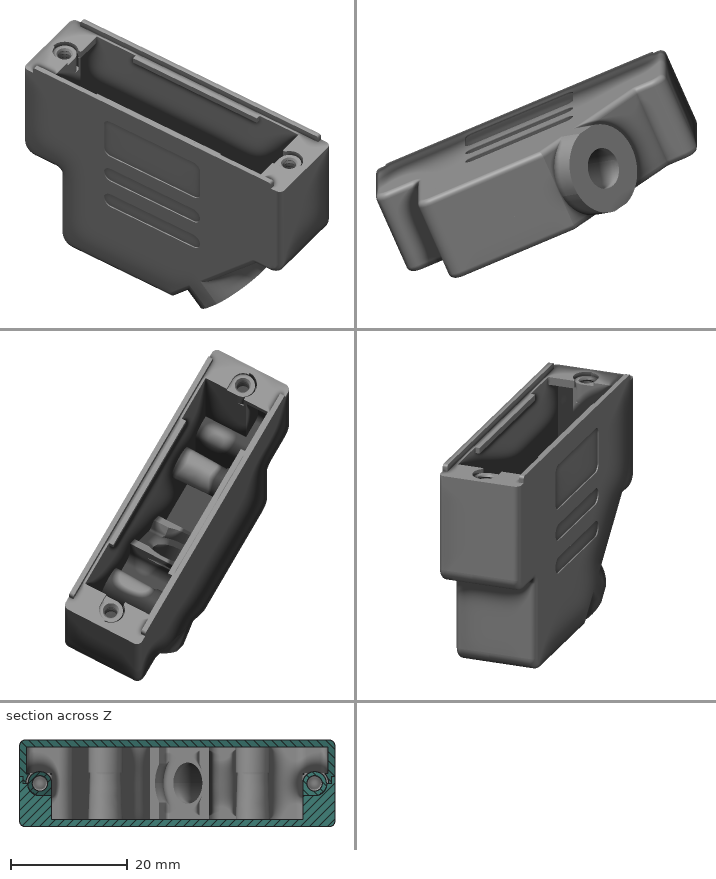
import cadquery as cq
import math

ROOT2 = math.sqrt(2)
EPS = 0.005

half_width = 27.0
half_depth = 7.45
ledge_z = -19.85
floor_z = -37.35
neck_x = -19.15
corner_radius = 2.5
neck_radius = 1.0
slope_radius = 0.25
slope_inner_radius = 2.4
slope_start_x = 4.1
edge_fillet = 1.0
wall = 1.3

tongue_height = 1.2
tongue_thickness = 0.65

outlet_offset = 7.8
outlet_radius = 7.6
outlet_length = 4.05
bore_radius = 3.5

clamp_face_distance = 13.0
clamp_left_x = -4.65
clamp_right_x = 5.5
clamp_slot_width = 9.7
clamp_slot_depth = 2.05
clamp_counterbore_radius = 5.9
clamp_slot_fillet = 0.5
clamp_base_chamfer = 0.5
clamp_back_radius = 1.7
clamp_back_z = -23.5

lip_half_length = 24.9
lip_height = 1.2
lip_thickness = 0.85
lip_corner_radius = 0.5
tab_half_length = 12.95
tab_thickness = 0.8
tab_height = 1.0

insert_x = 23.5
insert_radius = 2.05
insert_length = 3.55
insert_recess = 0.6
thread_minor_radius = 1.15
thread_major_radius = 1.4
thread_turns = 5
back_hole_radius = 2.4
back_hole_mouth_y = 1.45
cavity_half_width = insert_x - insert_radius
insert_top = -insert_recess
insert_bottom = insert_top - insert_length

end_pad_thickness = 0.3
end_pad_height = 1.4
end_hollow_y = 1.75

post_xs = (-12.25, 12.95)
post_z = -19.45
post_radius = 2.9
post_tip_radius = 2.65
post_joint_y = 1.85

corner_pad_width = 4.85
corner_pad_depth = 1.95
corner_pad_step = 1.1
corner_pad_low = 0.55
corner_pad_high = 2.15

label_half_width = 10.05
label_depth = 0.2
label_recesses = ((-2.75, -10.95, 1.3), (-13.8, -16.8, 1.45), (-19.85, -22.85, 1.45))


def box(x0, x1, y0, y1, z0, z1):
    return cq.Workplane("XY").box(x1 - x0, y1 - y0, z1 - z0, centered=False).translate((x0, y0, z0))


def along_y(profile, y0, y1):
    """Extrude a closed XZ profile from y0 to y1."""
    return profile.extrude(y0 - y1).translate((0, y0, 0))


def arc_point(center, radius, degrees):
    angle = math.radians(degrees)
    return (center[0] + radius * math.cos(angle), center[1] + radius * math.sin(angle))


def outline(inset, top_z=0.0, bend_radius=slope_radius):
    """Closed XZ outline of the hood, moved inward by inset."""
    side = half_width - inset
    ledge = ledge_z + inset
    floor = floor_z + inset
    round_radius = corner_radius - inset
    neck_arc = neck_radius + inset
    slope_drop = slope_start_x - floor_z - inset * ROOT2

    left = (-half_width + corner_radius, ledge_z + corner_radius)
    right = (half_width - corner_radius, ledge_z + corner_radius)
    neck = (neck_x - neck_radius, ledge_z - neck_radius)
    bottom = (neck_x + corner_radius, floor_z + corner_radius)
    bend_z = ledge - bend_radius
    bend = (bend_z + slope_drop + bend_radius * ROOT2, bend_z)
    return (
        cq.Workplane("XZ")
        .moveTo(-side, top_z)
        .lineTo(-side, left[1])
        .threePointArc(arc_point(left, round_radius, 225), (left[0], ledge))
        .lineTo(neck[0], ledge)
        .threePointArc(arc_point(neck, neck_arc, 45), (neck_x + inset, neck[1]))
        .lineTo(neck_x + inset, bottom[1])
        .threePointArc(arc_point(bottom, round_radius, 225), (bottom[0], floor))
        .lineTo(floor + slope_drop, floor)
        .lineTo(*arc_point(bend, bend_radius, 135))
        .threePointArc(arc_point(bend, bend_radius, 112.5), (bend[0], ledge))
        .lineTo(right[0], ledge)
        .threePointArc(arc_point(right, round_radius, 315), (side, right[1]))
        .lineTo(side, top_z)
        .close()
    )


outlet_x = slope_start_x + outlet_offset / ROOT2
outlet_z = floor_z + outlet_offset / ROOT2
cable_plane = cq.Plane(origin=(outlet_x, 0, outlet_z), xDir=(1, 0, 1), normal=(1, 0, -1))


def cable_cylinder(radius, start, end):
    return cq.Workplane(cable_plane).workplane(offset=start).circle(radius).extrude(end - start)


def cable_box(width, depth, start, end):
    return cq.Workplane(cable_plane).workplane(offset=start).rect(width, depth).extrude(end - start)


def outer_hood():
    """Filleted hood with the flattened cable outlet and the rim lips."""
    hood = along_y(outline(0), -half_depth, half_depth)
    face_edges = hood.faces("<Y or >Y").edges().vals()
    rounded = [edge for edge in face_edges if edge.Center().z < -EPS]
    hood = hood.newObject(rounded).fillet(edge_fillet)
    outlet = cable_cylinder(outlet_radius, -edge_fillet, outlet_length)
    slab = box(-half_width, half_width, -half_depth, half_depth, 2 * floor_z, 0)
    hood = hood.union(outlet.intersect(slab))
    for y0 in (-half_depth, half_depth - lip_thickness):
        lip = box(-lip_half_length, lip_half_length, y0, y0 + lip_thickness, -wall, lip_height)
        hood = hood.union(lip.edges("|Y and >Z").fillet(lip_corner_radius))
    return hood


def cut_labels(hood):
    for top, bottom, radius in label_recesses:
        recess = box(-label_half_width, label_half_width,
                     -half_depth, -half_depth + label_depth, bottom, top)
        hood = hood.cut(recess.edges("|Y").fillet(radius))
    return hood


def clamp_block():
    """Block carrying the clamp face, filling the space down to the slope wall."""
    axis_sum = outlet_x + outlet_z
    face_x = outlet_x - clamp_face_distance / ROOT2
    face_drop = 2 * face_x - axis_sum
    base_z = floor_z + wall
    back_center = (clamp_right_x + clamp_back_radius, clamp_back_z + clamp_back_radius)
    profile = (
        cq.Workplane("XZ")
        .moveTo(clamp_left_x - clamp_base_chamfer, floor_z + EPS)
        .lineTo(clamp_left_x - clamp_base_chamfer, base_z)
        .lineTo(clamp_left_x, base_z + clamp_base_chamfer)
        .lineTo(clamp_left_x, clamp_left_x - face_drop)
        .lineTo(clamp_right_x, clamp_right_x - face_drop)
        .lineTo(clamp_right_x, back_center[1])
        .threePointArc(arc_point(back_center, clamp_back_radius, 225), (back_center[0], clamp_back_z))
        .lineTo(half_width, clamp_back_z)
        .lineTo(half_width, floor_z + EPS)
        .close()
    )
    block = along_y(profile, -half_depth, half_depth)
    slot_floor = -clamp_face_distance + clamp_slot_depth
    slot = cable_box(clamp_slot_width, 2 * half_depth, -2 * clamp_face_distance, slot_floor)
    slot = slot.faces(">(1, 0, -1)").edges("|Y").fillet(clamp_slot_fillet)
    counterbore = cable_cylinder(clamp_counterbore_radius, -2 * clamp_face_distance, slot_floor)
    return block.cut(slot).cut(counterbore)


def cavity():
    """Inside space of the closed hood, with the clamp block left standing."""
    inner_y = half_depth - wall
    whole = along_y(outline(wall, lip_height, slope_inner_radius), -inner_y, inner_y)
    corner_x = neck_x + wall
    corner_z = floor_z + wall
    whole = whole.union(
        box(corner_x, corner_x + corner_radius, -inner_y, inner_y, corner_z, corner_z + corner_radius)
    )
    middle = whole.intersect(
        box(-cavity_half_width, cavity_half_width, -inner_y, inner_y, floor_z, lip_height)
    )
    end_hollows = whole.intersect(
        box(-half_width, half_width, end_hollow_y, inner_y, floor_z, -end_pad_height)
    )
    space = middle.union(end_hollows).cut(clamp_block())
    for side in (-1, 1):
        x0, x1 = sorted((side * cavity_half_width, side * (cavity_half_width - end_pad_thickness)))
        space = space.cut(box(x0, x1, back_hole_mouth_y, inner_y, -end_pad_height, lip_height))
        y0, y1 = sorted((side * inner_y, side * (inner_y - tab_thickness)))
        space = space.cut(box(-tab_half_length, tab_half_length, y0, y1, -tab_height, 0))
    return space


def insert_shape(side, z0, z1):
    """Round column, squared off toward the cavity on the front half."""
    column = cq.Workplane("XY").circle(insert_radius).extrude(z1 - z0)
    column = column.translate((side * insert_x, 0, z0))
    x0, x1 = sorted((side * insert_x, side * cavity_half_width))
    return column.union(box(x0, x1, -insert_radius, 0, z0, z1))


def insert_pocket(side):
    """Seat of one insert: a close fit in the front shell, a wider hole in the back shell."""
    seat = insert_shape(side, insert_bottom, lip_height)
    hole = cq.Workplane("XY").circle(back_hole_radius).extrude(lip_height - insert_bottom)
    hole = hole.translate((side * insert_x, 0, insert_bottom))
    hole = hole.intersect(box(-half_width, half_width, 0, half_depth, insert_bottom, lip_height))
    x0, x1 = sorted((side * insert_x, side * (cavity_half_width - end_pad_thickness)))
    mouth = box(x0, x1, 0, back_hole_mouth_y, -end_pad_height, lip_height)
    return seat.union(hole).union(mouth)


def front_zone():
    """Space owned by the front shell: y < 0 plus the tongue along the outer wall."""
    zone = box(-half_width, half_width, -half_depth, 0, 2 * floor_z, lip_height)
    outer = along_y(outline(0), 0, tongue_height)
    outer = outer.union(
        cable_box(2 * outlet_radius, 2 * tongue_height, -edge_fillet, outlet_length)
    )
    core = along_y(outline(tongue_thickness, lip_height), 0, tongue_height)
    core = core.union(
        cable_box(2 * (outlet_radius - tongue_thickness), 2 * tongue_height,
                  -2 * edge_fillet, outlet_length - tongue_thickness)
    )
    return zone.union(outer.cut(core))


def front_post(x):
    """Drafted post, narrowest at the joint."""
    base = cq.Vector(x, wall - half_depth, post_z)
    length = post_joint_y + half_depth - wall
    return cq.Workplane(obj=cq.Solid.makeCone(post_radius, post_tip_radius, length, base, cq.Vector(0, 1, 0)))


def back_post(x):
    """Straight post from the joint to the back wall."""
    base = cq.Vector(x, post_joint_y, post_z)
    length = half_depth - wall - post_joint_y
    return cq.Workplane(obj=cq.Solid.makeCylinder(post_radius, length, base, cq.Vector(0, 1, 0)))


def corner_pad():
    x0 = neck_x + wall
    z0 = floor_z + wall
    low = box(x0, x0 + corner_pad_width, 0, corner_pad_depth, z0, z0 + corner_pad_low)
    high = box(x0, x0 + corner_pad_step, 0, corner_pad_depth, z0, z0 + corner_pad_high)
    return low.union(high)


def hollow_hood():
    hood = cut_labels(outer_hood()).cut(cavity())
    hood = hood.cut(cable_cylinder(bore_radius, -clamp_face_distance, outlet_length))
    for side in (-1, 1):
        hood = hood.cut(insert_pocket(side))
    return hood


def front_shell(hood):
    shell = hood.intersect(front_zone())
    for x in post_xs:
        shell = shell.union(front_post(x))
    return shell


def back_shell(hood):
    shell = hood.cut(front_zone()).union(corner_pad())
    for x in post_xs:
        shell = shell.union(back_post(x))
    return shell


def threaded_insert(side):
    """Insert with a through bore; stacked V grooves form its thread."""
    pitch = insert_length / thread_turns
    profile = cq.Workplane("XZ").lineTo(thread_major_radius, 0)
    for turn in range(thread_turns):
        profile = profile.lineTo(thread_minor_radius, (turn + 0.5) * pitch)
        profile = profile.lineTo(thread_major_radius, (turn + 1) * pitch)
    bore = profile.lineTo(0, insert_length).close().revolve(360, (0, 0), (0, 1))
    body = insert_shape(side, insert_bottom, insert_top)
    return body.cut(bore.translate((side * insert_x, 0, insert_bottom)))


hood = hollow_hood()
front = front_shell(hood)
back = back_shell(hood)
inserts = [threaded_insert(side) for side in (-1, 1)]

result = cq.Compound.makeCompound([front.val(), back.val(), *[insert.val() for insert in inserts]])